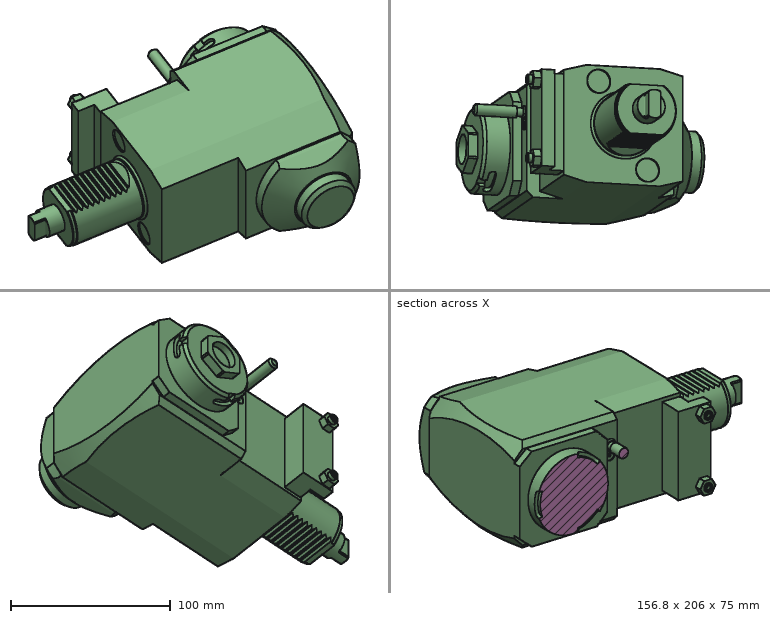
import cadquery as cq
import math


EPS = 0.5

half_height = 37.5
back_y = 134.0
shoulder_y = 55.0
neck_half_width = 38.75
slope_angle = 15.0
slope = math.tan(math.radians(slope_angle))
slope_start_x = 24.0
head_left_x = -47.3
head_right_x = 48.6
head_left_chamfer = 4.0
head_right_chamfer = 4.0

bevel = 4.5
bevel_radius = 128.0
bevel_center_x = -9.5

shank_radius = 20.0
shank_length = 53.0
collar_radius = 21.5
collar_length = 2.0
undercut_radius = 19.8
undercut_length = 1.0
end_land_length = 3.0
end_land_radius = 19.5
end_land_taper = 0.5
end_chamfer = 0.5
flat_height = 15.7
flat_start = 8.8
tooth_pitch = 4.0
tooth_count = 10
tooth_depth = 1.4
tooth_half_width = 1.6
first_tooth = 11.5
drive_radius = 9.0
drive_shoulder = 64.0
drive_end = 72.0
tang_width = 8.0
tang_chamfer = 0.7
tang_base_round = 0.7

recess_radius = 7.5
recess_depth = 1.2
recess_x = 15.9
recess_z = 27.5

spindle_y = 100.0
plate_thickness = 5.7
plate_front_y = 66.5
plate_half_height = 33.2
plate_chamfer_z = 8.0
plate_front_chamfer_y = 8.0
plate_back_chamfer_y = 9.3
nut_radius = 27.6
nut_left_x = -70.2
nut_chamfer = 2.0
bayonet_count = 3
bayonet_depth = 2.6
notch_width = 5.8
slot_width = 4.9
slot_center_x = -62.4
slot_half_angle = 15.0
hex_left_x = -76.4
hex_across_flats = 27.0
hex_turned_radius = 15.2
bore_radius = 9.4
bore_depth = 5.0

pin_y = 60.6
pin_z = 17.5
pin_tip_x = -80.2
pin_inner_x = -52.8
pin_radius = 3.7
pin_tip_chamfer = 1.3
pin_neck_radius = 2.7
pin_base_radius = 4.2
pin_base_height = 1.3
pin_base_chamfer = 1.0
plug_radius = 3.8
plug_depth = 0.5
plug_hole_radius = 1.2
plug_hole_depth = 2.0
plug_z = 10.3

cover_radius = 37.6
cover_rim_x = 55.6
cover_end_x = 67.4
cover_end_radius = 20.6
cover_flat_z = 29.4
cover_slope_x = 51.8
cover_back_y = 130.0
cap_radius = 19.4
cap_end_x = 76.63
cap_chamfer = 2.7

bracket_left_x = -56.2
bracket_back_y = 14.0
bracket_front_y = 0.6
bracket_tip_y = -11.0
bracket_foot_thickness = 8.3
bracket_half_height = 30.9
stud_y = -5.1
stud_z = 25.1
stud_nut_flats = 10.2
stud_nut_height = 5.0
stud_radius = 3.0
stud_end_x = -64.3
stud_chamfer = 0.4
socket_flats = 3.0
socket_depth = 2.5


def block(x0, x1, y0, y1, z0, z1):
    """Box between two opposite corners."""
    return cq.Workplane("XY").box(x1 - x0, y1 - y0, z1 - z0, centered=False).translate((x0, y0, z0))


def along_x(x0, x1, radius, y, z=0.0):
    """Cylinder parallel to X."""
    return cq.Workplane("YZ", origin=(x0, y, z)).circle(radius).extrude(x1 - x0)


def hexagon_x(x0, x1, across_flats, y, z, turn=0.0):
    """Hexagonal prism parallel to X; its corners lie along Y unless turned."""
    corners = across_flats / math.cos(math.pi / 6)
    prism = cq.Workplane("YZ", origin=(x0, y, z)).polygon(6, corners).extrude(x1 - x0)
    return prism.rotate((x0, y, z), (x0 + 1, y, z), turn)


def mirrored_prism(upper_points, y0, y1):
    """Extrude along Y an XZ outline whose lower half mirrors the upper points."""
    lower_points = [(x, -z) for x, z in reversed(upper_points)]
    outline = cq.Workplane("XZ", origin=(0, y1, 0)).polyline(upper_points + lower_points).close()
    return outline.extrude(y1 - y0)


def slope_height(x):
    """Height of the inclined face at a place right of the slope start."""
    return half_height - (x - slope_start_x) * slope


def housing():
    neck_side_height = slope_height(neck_half_width)
    neck = mirrored_prism(
        [
            (-neck_half_width, neck_side_height),
            (-slope_start_x, half_height),
            (slope_start_x, half_height),
            (neck_half_width, neck_side_height),
        ],
        0, shoulder_y + EPS,
    )
    head = mirrored_prism(
        [
            (head_left_x, half_height - head_left_chamfer),
            (head_left_x + head_left_chamfer, half_height),
            (slope_start_x, half_height),
            (head_right_x, slope_height(head_right_x)),
        ],
        shoulder_y, back_y,
    )
    head = head.edges(">X and >Y").chamfer(head_right_chamfer)
    axis_z = bevel_radius - half_height
    end_radius = bevel_radius - bevel
    for side in (1, -1):
        cone = cq.Solid.makeCone(
            end_radius + back_y, end_radius, back_y,
            pnt=cq.Vector(bevel_center_x, 0, -side * axis_z), dir=cq.Vector(0, 1, 0),
        )
        head = head.intersect(cq.Workplane(cone))
    return neck.union(head)


def seat_recesses():
    return (
        cq.Workplane("XZ")
        .pushPoints([(-recess_x, recess_z), (recess_x, -recess_z)])
        .circle(recess_radius)
        .extrude(-recess_depth)
    )


def shank_blank():
    """Turned shank with half-round collar, undercut and end land."""
    bead = collar_length / 2
    bead_base = collar_radius - bead
    undercut_end = collar_length + undercut_length
    land_start = shank_length - end_land_length
    profile = (
        cq.Workplane("XY")
        .moveTo(0, EPS)
        .lineTo(bead_base, EPS)
        .lineTo(bead_base, 0)
        .threePointArc((collar_radius, -bead), (bead_base, -collar_length))
        .lineTo(undercut_radius, -collar_length)
        .lineTo(undercut_radius, -undercut_end)
        .lineTo(shank_radius, -undercut_end)
        .lineTo(shank_radius, -land_start)
        .lineTo(end_land_radius, -land_start - end_land_taper)
        .lineTo(end_land_radius, end_chamfer - shank_length)
        .lineTo(end_land_radius - end_chamfer, -shank_length)
        .lineTo(0, -shank_length)
        .close()
    )
    return profile.revolve(360, (0, 0, 0), (0, 1, 0))


def shank_flat(side):
    """Cutter for one toothed flat: 45 degree run-in, flat and V grooves."""
    clear = shank_radius + EPS
    run_in = clear - flat_height
    points = [
        (flat_start - run_in, clear),
        (flat_start, flat_height),
    ]
    for i in range(tooth_count):
        y = first_tooth + i * tooth_pitch
        points.append((y - tooth_half_width, flat_height))
        points.append((y, flat_height - tooth_depth))
        points.append((y + tooth_half_width, flat_height))
    points += [(shank_length, flat_height), (shank_length, clear)]
    outline = [(-y, side * z) for y, z in points]
    return cq.Workplane("YZ").polyline(outline).close().extrude(shank_radius, both=True)


def drive_tang():
    """Round journal ending in a flat tang with a rounded root and chamfered corners."""
    journal = cq.Workplane("XZ", origin=(0, EPS - shank_length, 0)).circle(drive_radius)
    tang = journal.extrude(drive_end - shank_length + EPS)
    clear = drive_radius + EPS
    side_cut = block(tang_width / 2, clear, -drive_end, -drive_shoulder, -clear, clear)
    tang = tang.cut(side_cut).cut(side_cut.mirror("YZ"))
    corners = cq.selectors.BoxSelector(
        (-tang_width, -drive_end - EPS, -clear), (tang_width, -drive_shoulder, clear),
    )
    tang = tang.edges("|Y").edges(corners).chamfer(tang_chamfer)
    root = cq.selectors.BoxSelector(
        (-tang_width, -drive_shoulder - EPS, -clear), (tang_width, -drive_shoulder + EPS, clear),
    )
    return tang.edges("|Z").edges(root).fillet(tang_base_round)


def shank():
    body = shank_blank()
    for side in (1, -1):
        body = body.cut(shank_flat(side))
    return body.union(drive_tang())


def flange_plate():
    chamfer_z = plate_half_height - plate_chamfer_z
    corners = [
        (plate_front_y, chamfer_z),
        (plate_front_y + plate_front_chamfer_y, plate_half_height),
        (back_y - plate_back_chamfer_y, plate_half_height),
        (back_y, chamfer_z),
    ]
    corners += [(y, -z) for y, z in reversed(corners)]
    outline = cq.Workplane("YZ", origin=(head_left_x - plate_thickness, 0, 0)).polyline(corners).close()
    return outline.extrude(plate_thickness + EPS)


def bayonet_cutters():
    """Circumferential slots around the nut, each opened to the face by a notch."""
    inner_radius = nut_radius - bayonet_depth
    outer_radius = nut_radius + EPS
    mid_radius = (inner_radius + outer_radius) / 2
    slot = (
        cq.Workplane("XY")
        .center(slot_center_x, mid_radius)
        .rect(slot_width, outer_radius - inner_radius)
        .revolve(2 * slot_half_angle, (-1, -mid_radius, 0), (1, -mid_radius, 0))
        .rotate((0, 0, 0), (1, 0, 0), -slot_half_angle)
    )
    end_circle = cq.Workplane("XZ", origin=(slot_center_x, 0, 0)).circle(slot_width / 2)
    round_end = end_circle.extrude(-outer_radius)
    core = along_x(nut_left_x, head_left_x, inner_radius, 0)
    for angle in (slot_half_angle, -slot_half_angle):
        slot = slot.union(round_end.rotate((0, 0, 0), (1, 0, 0), angle).cut(core))
    notch = block(nut_left_x, slot_center_x, inner_radius, outer_radius, -notch_width / 2, notch_width / 2)
    cutter = slot.union(notch)
    step = 360 / bayonet_count
    cutters = cutter
    for i in range(1, bayonet_count):
        cutters = cutters.union(cutter.rotate((0, 0, 0), (1, 0, 0), i * step))
    return cutters.translate((0, spindle_y, 0))


def spindle_nut():
    nut = along_x(nut_left_x, head_left_x, nut_radius, spindle_y)
    nut = nut.faces("<X").edges().chamfer(nut_chamfer)
    nut = nut.cut(bayonet_cutters())
    hexagon = hexagon_x(hex_left_x, nut_left_x + EPS, hex_across_flats, spindle_y, 0, 90)
    hexagon = hexagon.intersect(along_x(hex_left_x, nut_left_x + EPS, hex_turned_radius, spindle_y))
    bore = along_x(hex_left_x, hex_left_x + bore_depth, bore_radius, spindle_y)
    return nut.union(hexagon).cut(bore)


def coolant_pin():
    shaft = along_x(pin_tip_x, pin_inner_x, pin_radius, pin_y, pin_z)
    shaft = shaft.faces("<X").edges().chamfer(pin_tip_chamfer)
    neck = along_x(pin_inner_x - EPS, head_left_x, pin_neck_radius, pin_y, pin_z)
    base = along_x(head_left_x - pin_base_height, head_left_x + EPS, pin_base_radius, pin_y, pin_z)
    base = base.faces("<X").edges().chamfer(pin_base_chamfer)
    return shaft.union(neck).union(base)


def plug_recess():
    recess = along_x(head_left_x, head_left_x + plug_depth, plug_radius, pin_y, plug_z)
    hole = along_x(head_left_x, head_left_x + plug_hole_depth, plug_hole_radius, pin_y, plug_z)
    return recess.union(hole)


def cover():
    """Conical cover trimmed by a back plane and two inclined planes, with an end cap."""
    start_x = head_right_x - EPS
    profile = [
        (start_x, 0),
        (start_x, cover_radius),
        (cover_rim_x, cover_radius),
        (cover_end_x, cover_end_radius),
        (cover_end_x, 0),
    ]
    cone = cq.Workplane("XY").polyline(profile).close().revolve(360, (0, 0, 0), (1, 0, 0))
    cone = cone.translate((0, spindle_y, 0))
    trim_end_z = cover_flat_z - (cover_end_x - cover_slope_x) * slope
    trim = mirrored_prism(
        [(start_x, cover_flat_z), (cover_slope_x, cover_flat_z), (cover_end_x, trim_end_z)],
        spindle_y - cover_radius, cover_back_y,
    )
    cap = along_x(cover_end_x - EPS, cap_end_x, cap_radius, spindle_y)
    cap = cap.faces(">X").edges().chamfer(cap_chamfer)
    return cone.intersect(trim).union(cap)


def bracket():
    outline = [
        (EPS - neck_half_width, bracket_back_y),
        (bracket_left_x, bracket_back_y),
        (bracket_left_x, bracket_tip_y),
        (bracket_left_x + bracket_foot_thickness, bracket_tip_y),
        (bracket_left_x + bracket_foot_thickness, bracket_front_y),
        (EPS - neck_half_width, bracket_front_y),
    ]
    body = cq.Workplane("XY").polyline(outline).close().extrude(bracket_half_height, both=True)
    for z in (stud_z, -stud_z):
        nut = hexagon_x(bracket_left_x - stud_nut_height, bracket_left_x + EPS, stud_nut_flats, stud_y, z)
        stud = along_x(stud_end_x, bracket_left_x, stud_radius, stud_y, z)
        stud = stud.faces("<X").edges().chamfer(stud_chamfer)
        socket = hexagon_x(stud_end_x, stud_end_x + socket_depth, socket_flats, stud_y, z)
        body = body.union(nut).union(stud).cut(socket)
    return body


result = (
    housing()
    .cut(seat_recesses())
    .cut(plug_recess())
    .union(shank())
    .union(flange_plate())
    .union(spindle_nut())
    .union(coolant_pin())
    .union(cover())
    .union(bracket())
)